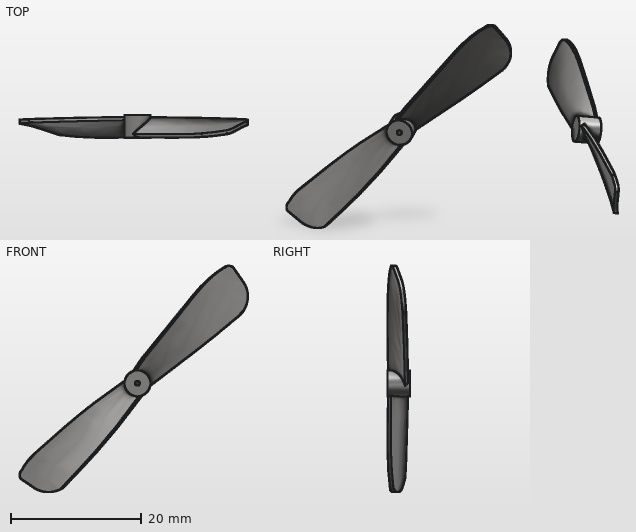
import cadquery as cq
import math

HUB_RADIUS = 2.0
HUB_LENGTH = 3.52
HOLE_RADIUS = 0.36
HOLE_DEPTH = HUB_LENGTH / 2

BLADE_THICKNESS = 0.6
BLADE_CAMBER = 0.3
FIRST_BLADE_ANGLE = 45.0
SECOND_BLADE_ANGLE = FIRST_BLADE_ANGLE + 180.0

FIRST_BLADE_SECTIONS = [
    (0.8, 1.78, 1.62, 1.62, 1.45),
    (7.0, 2.65, 2.45, 1.74, 1.4),
    (13.0, 3.25, 3.2, 1.74, 1.3),
    (18.0, 3.68, 3.68, 1.62, 1.18),
    (23.1, 2.9, 4.2, 1.1, 1.1),
]
SECOND_BLADE_SECTIONS = [
    (0.8, 1.84, 1.6, 1.65, 1.45),
    (7.0, 2.65, 2.6, 1.74, 1.4),
    (13.0, 3.1, 3.2, 1.72, 1.3),
    (18.0, 3.25, 3.5, 1.5, 1.2),
    (23.1, 3.4, 3.9, 1.0, 1.1),
]

FIRST_TIP = {
    "taper_start": (17.6, 3.61),
    "taper_middle": (20.3, 3.51),
    "corner_start": (22.05, 3.17),
    "corner_middle": (22.7, 2.86),
    "end_start": (23.0, 2.2),
    "round_start": (22.56, -0.3),
    "round_middle": (21.56, -2.45),
    "round_end": (18.6, -3.7),
}
SECOND_TIP = {
    "taper_start": (18.4, 3.52),
    "taper_middle": (20.3, 3.5),
    "corner_start": (22.03, 3.15),
    "corner_middle": (22.73, 2.9),
    "end_start": (23.06, 2.3),
    "round_start": (22.66, 0.2),
    "round_middle": (21.4, -2.26),
    "round_end": (18.3, -3.34),
}
OUTLINE_HALF_WIDTH = 6.0


def section_wire(distance, front_reach, back_reach, front_depth, back_depth):
    """Cambered plate section, square to the blade, with its corners on the given extents."""
    width = front_reach + back_reach
    depth = front_depth + back_depth
    pitch = math.atan2(depth - BLADE_THICKNESS, width)
    half_across = BLADE_THICKNESS / 2 * math.sin(pitch)
    half_along = BLADE_THICKNESS / 2 * math.cos(pitch)
    front_u = front_reach - half_across
    back_u = half_across - back_reach
    front_v = front_depth - half_along
    back_v = half_along - back_depth
    bow_u = (front_u + back_u) / 2 + BLADE_CAMBER * math.sin(pitch)
    bow_v = (front_v + back_v) / 2 - BLADE_CAMBER * math.cos(pitch)

    plane = cq.Plane(origin=(distance, 0, 0), xDir=(0, 0, 1), normal=(1, 0, 0))
    return (
        cq.Workplane(plane)
        .moveTo(front_u - half_across, front_v + half_along)
        .threePointArc(
            (bow_u - half_across, bow_v + half_along),
            (back_u - half_across, back_v + half_along),
        )
        .lineTo(back_u + half_across, back_v - half_along)
        .threePointArc(
            (bow_u + half_across, bow_v - half_along),
            (front_u + half_across, front_v - half_along),
        )
        .close()
        .val()
    )


def tip_outline(tip, corner_side):
    """Block that keeps the blade inside its tip outline; corner_side is +1 or -1 along Z."""
    at = {name: (distance, corner_side * offset) for name, (distance, offset) in tip.items()}
    side = corner_side * OUTLINE_HALF_WIDTH
    return (
        cq.Workplane("XZ")
        .moveTo(0, side)
        .lineTo(at["taper_start"][0], side)
        .lineTo(*at["taper_start"])
        .threePointArc(at["taper_middle"], at["corner_start"])
        .threePointArc(at["corner_middle"], at["end_start"])
        .lineTo(*at["round_start"])
        .threePointArc(at["round_middle"], at["round_end"])
        .lineTo(at["round_end"][0], -side)
        .lineTo(0, -side)
        .close()
        .extrude(HUB_LENGTH, both=True)
    )


def blade(sections, tip, corner_side, angle):
    """Blade lofted along +X, trimmed at the tip and turned to its angle."""
    plate = cq.Solid.makeLoft([section_wire(*section) for section in sections])
    trimmed = cq.Workplane(plate).intersect(tip_outline(tip, corner_side))
    return trimmed.rotate((0, 0, 0), (0, 1, 0), -angle)


def hub():
    return cq.Workplane("XZ").circle(HUB_RADIUS).extrude(HUB_LENGTH / 2, both=True)


def shaft_hole():
    front_face = cq.Workplane("XZ", origin=(0, -HUB_LENGTH / 2, 0))
    return front_face.circle(HOLE_RADIUS).extrude(-HOLE_DEPTH)


first_blade = blade(FIRST_BLADE_SECTIONS, FIRST_TIP, 1, FIRST_BLADE_ANGLE)
second_blade = blade(SECOND_BLADE_SECTIONS, SECOND_TIP, -1, SECOND_BLADE_ANGLE)
result = hub().union(first_blade).union(second_blade).cut(shaft_hole())